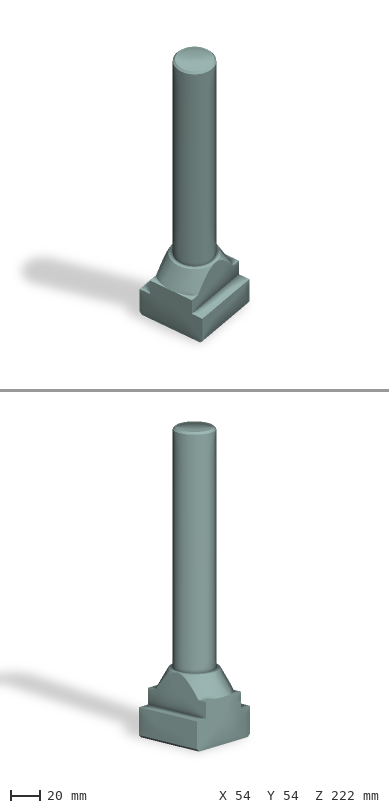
import cadquery as cq

total_height = 222.0
head_side = 54.0

flange_height = 22.0
neck_width = 36.0
neck_top = 34.0
bottom_chamfer = 2.0

shoulder_top = 50.0
shoulder_top_diameter = neck_width

shank_diameter = 30.0
tip_chamfer_height = 1.5
tip_chamfer_width = 1.5


def box_on(width, bottom, top):
    """Box centred on the Z axis, spanning the full head side along Y."""
    return (
        cq.Workplane("XY")
        .workplane(offset=bottom)
        .rect(width, head_side)
        .extrude(top - bottom)
    )


def make_head():
    """Flange with chamfered lower edges, carrying the narrower neck."""
    flange = box_on(head_side, 0, flange_height)
    flange = flange.faces("<Z").edges("|Y").chamfer(bottom_chamfer)
    return flange.union(box_on(neck_width, flange_height, neck_top))


def make_shoulder():
    """Cone from the head side to the neck width, cut flush with the neck."""
    cone = (
        cq.Workplane("XZ")
        .moveTo(0, neck_top)
        .lineTo(head_side / 2, neck_top)
        .lineTo(shoulder_top_diameter / 2, shoulder_top)
        .lineTo(0, shoulder_top)
        .close()
        .revolve(360, (0, 0, 0), (0, 1, 0))
    )
    return cone.intersect(box_on(neck_width, neck_top, shoulder_top))


def make_shank():
    """Round shank with a chamfered tip, rising from the shoulder."""
    shank = (
        cq.Workplane("XY")
        .workplane(offset=shoulder_top)
        .circle(shank_diameter / 2)
        .extrude(total_height - shoulder_top)
    )
    return shank.faces(">Z").chamfer(tip_chamfer_height, tip_chamfer_width)


result = make_head().union(make_shoulder()).union(make_shank())